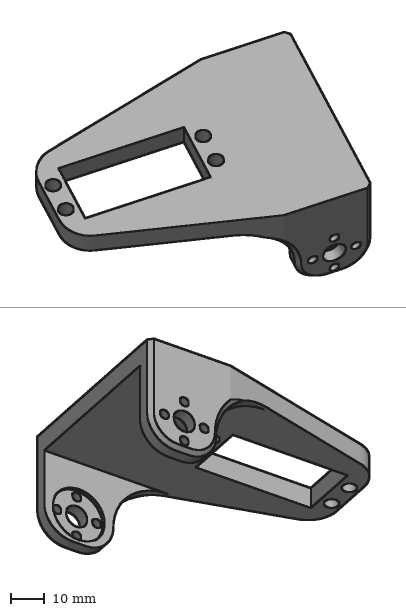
import cadquery as cq

length = 90.55
width = 64.0
height = 36.1

plate_thickness = 7.15
rear_block_length = 28.3
tip_width = 30.9
tip_radius = 10.0

arm_thickness = 5.4
arm_length = 24.3
arm_radius = 10.0
arm_chamfer = 1.45

shaft_diameter = 7.3
shaft_drop = 25.7
arm_screw_diameter = 3.1
arm_screw_circle_radius = 7.0
arm_screw_count = 4

recess_diameter = 18.1
recess_depth = 1.2

window_width = 20.5
window_length = 40.3
window_center_y = 27.5
plate_screw_diameter = 4.6
plate_screw_spacing_x = 9.9
plate_screw_spacing_y = 48.3

arm_front_y = length - arm_length
arm_center = (0, arm_front_y + arm_length / 2, -shaft_drop)
round_start_z = arm_radius - height
blend_radius = height - plate_thickness - arm_radius


def make_side_profile_body():
    """Full-width side profile, chamfered on both outer faces except along the plate."""
    body = (
        cq.Workplane("YZ")
        .lineTo(length, 0)
        .lineTo(length, round_start_z)
        .radiusArc((length - arm_radius, -height), arm_radius)
        .lineTo(arm_front_y + arm_radius, -height)
        .radiusArc((arm_front_y, round_start_z), arm_radius)
        .radiusArc((arm_front_y - blend_radius, -plate_thickness), -blend_radius)
        .lineTo(0, -plate_thickness)
        .close()
        .extrude(width / 2, both=True)
    )
    arm_edges = cq.selectors.BoxSelector(
        (-width, arm_front_y - blend_radius, -2 * height),
        (width, 2 * length, -plate_thickness / 2),
    )
    return body.faces("<X or >X").edges(arm_edges).chamfer(arm_chamfer)


def make_plan_outline():
    """Top outline: straight at the rear, tapering to a rounded tip."""
    taper_start_y = length - rear_block_length
    return (
        cq.Workplane("XY")
        .polyline([
            (-tip_width / 2, 0),
            (tip_width / 2, 0),
            (width / 2, taper_start_y),
            (width / 2, length),
            (-width / 2, length),
            (-width / 2, taper_start_y),
        ])
        .close()
        .extrude(-height)
        .edges("|Z and <Y")
        .fillet(tip_radius)
    )


def make_gap_between_arms():
    """Open space under the plate."""
    gap_width = width - 2 * arm_thickness
    return (
        cq.Workplane("XY", origin=(0, length / 2, -plate_thickness))
        .rect(gap_width, 2 * length)
        .extrude(-height)
    )


def make_inner_recesses():
    """Shallow round recess around the shaft hole, on the inner face of both arms."""
    reach = width / 2 - arm_thickness + recess_depth
    return cq.Workplane("YZ", origin=arm_center).circle(recess_diameter / 2).extrude(reach, both=True)


def make_arm_holes():
    """Shaft hole and screw holes through both arms."""
    shaft = cq.Workplane("YZ", origin=arm_center).circle(shaft_diameter / 2).extrude(width, both=True)
    screws = (
        cq.Workplane("YZ", origin=arm_center)
        .polarArray(arm_screw_circle_radius, 0, 360, arm_screw_count)
        .circle(arm_screw_diameter / 2)
        .extrude(width, both=True)
    )
    return shaft.union(screws)


def make_plate_openings():
    """Rectangular window with a pair of screw holes at each end."""
    center = (0, window_center_y, 0)
    window = cq.Workplane("XY", origin=center).rect(window_width, window_length).extrude(-height)
    screws = (
        cq.Workplane("XY", origin=center)
        .rarray(plate_screw_spacing_x, plate_screw_spacing_y, 2, 2)
        .circle(plate_screw_diameter / 2)
        .extrude(-height)
    )
    return window.union(screws)


result = (
    make_side_profile_body()
    .intersect(make_plan_outline())
    .cut(make_gap_between_arms())
    .cut(make_inner_recesses())
    .cut(make_arm_holes())
    .cut(make_plate_openings())
)